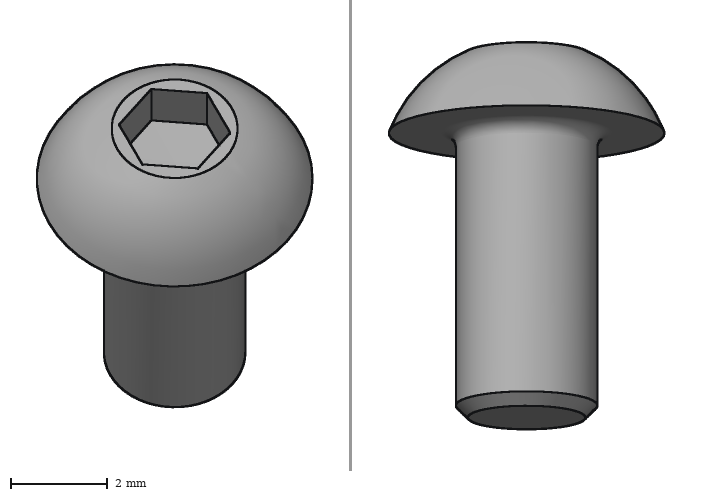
import cadquery as cq
import math

total_length = 7.65
head_diameter = 5.7
head_height = 1.65
head_top_diameter = 2.6
shank_diameter = 2.93
neck_fillet = 0.3
tip_chamfer = 0.25

socket_sides = 6
socket_across_flats = 2.0
socket_depth = 1.04
socket_point_depth = 0.085

head_radius = head_diameter / 2
head_top_radius = head_top_diameter / 2
shank_radius = shank_diameter / 2
head_base_z = total_length - head_height

dome_centre_drop = (head_radius**2 - head_top_radius**2 - head_height**2) / (2 * head_height)
dome_radius = math.hypot(head_radius, dome_centre_drop)
dome_middle_radius = (head_radius + head_top_radius) / 2
dome_middle_z = head_base_z - dome_centre_drop + math.sqrt(dome_radius**2 - dome_middle_radius**2)


def make_body():
    """Revolve the half section: chamfered tip, shank, neck fillet and domed head."""
    neck_middle_offset = neck_fillet * (1 - math.sqrt(0.5))
    half_section = (
        cq.Workplane("XZ")
        .moveTo(0, 0)
        .lineTo(shank_radius - tip_chamfer, 0)
        .lineTo(shank_radius, tip_chamfer)
        .lineTo(shank_radius, head_base_z - neck_fillet)
        .threePointArc(
            (shank_radius + neck_middle_offset, head_base_z - neck_middle_offset),
            (shank_radius + neck_fillet, head_base_z),
        )
        .lineTo(head_radius, head_base_z)
        .threePointArc((dome_middle_radius, dome_middle_z), (head_top_radius, total_length))
        .lineTo(0, total_length)
        .close()
    )
    return half_section.revolve(360, (0, 0, 0), (0, 1, 0))


def make_socket():
    """Hexagonal socket with two corners on the Y axis and a six-sided pointed floor."""
    corner_radius = socket_across_flats / 2 / math.cos(math.pi / socket_sides)
    floor_z = total_length - socket_depth
    apex = cq.Vector(0, 0, floor_z - socket_point_depth)
    corner_angles = [math.pi / 2 + side * 2 * math.pi / socket_sides for side in range(socket_sides)]
    corners = [
        cq.Vector(corner_radius * math.cos(angle), corner_radius * math.sin(angle), floor_z)
        for angle in corner_angles
    ]

    floor_outline = cq.Wire.makePolygon(corners, close=True)
    walls = cq.Solid.extrudeLinear(floor_outline, [], cq.Vector(0, 0, socket_depth))

    pyramid_faces = [cq.Face.makeFromWires(floor_outline)]
    for side, corner in enumerate(corners):
        next_corner = corners[(side + 1) % socket_sides]
        triangle = cq.Wire.makePolygon([corner, next_corner, apex], close=True)
        pyramid_faces.append(cq.Face.makeFromWires(triangle))
    point = cq.Solid.makeSolid(cq.Shell.makeShell(pyramid_faces))

    return cq.Workplane(walls).union(cq.Workplane(point))


result = make_body().cut(make_socket())